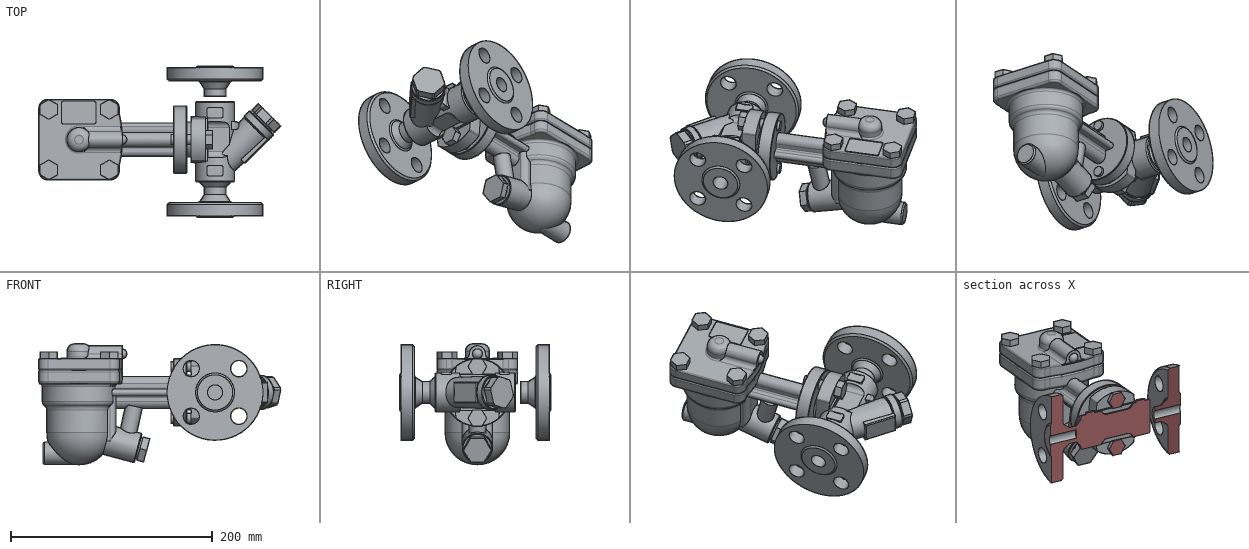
import cadquery as cq
import math

TRAP_X = -134.8
TRAP_Y = 2.1

FACE_Y = 75.0
FLANGE_D = 95.0
FLANGE_THICK = 13.3
FLANGE_CHAMFER = 2.0
RAISED_BASE_D = 38.6
RAISED_D = 35.0
RAISED_H = 1.5
BOLT_CIRCLE_D = 66.7
BOLT_HOLE_D = 16.0
NECK_D = 21.7
WELD_CONE_D = 31.5
NECK_ROOT_D = 30.0
NECK_FLARE_D = 33.5
NECK_FLARE_L = 1.2
NECK_CONE_L = 7.7
NECK_L = 7.5
BORE_D = 15.0

BODY_D = 39.0
BODY_HALF_L = 40.0
BODY_CHAMFER = 1.3
PAD_X = 16.0
PAD_Y = 10.3
PAD_CENTER_Y = 28.7
PAD_TOP = 20.2
PAD_CORNER_R = 2.0
WAIST_L = 35.6
WAIST_HALF_H = 13.5
WAIST_FILLET = 6.0
WAIST_CUT_X0 = -7.2

BRANCH_ANGLE = 45.0
BRANCH_START_Y = -27.4
BRANCH_ROOT = 12.0
BRANCH_ROOT_D = 30.0
BRANCH_END = 57.8
BRANCH_END_D = 32.5
COLLAR_D = 34.0
COLLAR_END = 65.5
COLLAR_CHAMFER = 0.8
GROOVE_D = 31.0
GROOVE_W = 1.2
CAP_NECK_D = 25.0
CAP_START = 67.3
CAP_END = 76.3
CAP_FLATS = 29.0
CAP_ROUND_D = 32.0
CAP_TURN = -13.0
BRANCH_PLATE_START = 25.0
BRANCH_PLATE_OFFSET = 16.8
BRANCH_PLATE_HALF_Z = 10.5
BRANCH_PLATE_CHAMFER = 1.0

GUSSET_X0 = 14.0
GUSSET_X1 = 23.5
GUSSET_Y0 = 12.0
GUSSET_Y1 = 20.0
GUSSET_HALF_Z = 11.0
GUSSET_ROUND = 3.0

ARM_FLANGE_D = 66.8
ARM_FLANGE_X0 = -41.2
ARM_FLANGE_X1 = -28.0
ARM_FLANGE_CHAMFER = 0.6
SPIGOT_D = 35.0
VALVE_FLANGE_X0 = -23.7
VALVE_FLANGE_X1 = -9.7
VALVE_FLANGE_D = 67.0
VALVE_FLANGE_W = 46.0
VALVE_FLANGE_END_W = 39.5
VALVE_FLANGE_ROUND = 1.5
VALVE_HUB_X1 = -7.2
VALVE_HUB_W = 42.0
VALVE_HUB_H = 36.0
CLAMP_BOLT_Z = 25.6
CLAMP_BOLT_D = 10.0
CLAMP_BOLT_X0 = -43.9
CLAMP_HEAD_X1 = -2.6
CLAMP_HEAD_FLATS = 16.0

ARM_WEB_W = 14.5
ARM_WEB_HALF_H = 16.0
ARM_BAR_HALF_W = 16.6
ARM_BAR_H = 7.0
ARM_BAR_Z = -0.2
ARM_INNER_FILLET = 1.3

BOWL_D = 64.2
BOWL_BOTTOM = -71.7
UPPER_BOWL_D = 73.0
STEP_LOW = -17.3
STEP_HIGH = -8.9
RIM_BOTTOM = 8.5
RIM_FILLET = 2.7

COVER_SIZE = 80.0
COVER_CORNER_R = 9.2
COVER_TOP = 33.4
COVER_JOINT = 22.0
COVER_TOP_ROUND = 1.0
JOINT_ROUND = 1.6
RIM_BOTTOM_ROUND = 2.4
BULGE_W = 50.5
BULGE_OUT = 3.0

COVER_BOLT_SPACING = 60.0
COVER_BOLT_FLATS = 17.0
COVER_BOLT_H = 6.7
NAME_PLATE_X = 34.2
NAME_PLATE_Y = 22.6
NAME_PLATE_CX = -0.4
NAME_PLATE_CY = 26.8
NAME_PLATE_H = 0.8
NAME_PLATE_R = 2.0
DOME_D = 24.0
DOME_TOP = 48.3
DOME_FLAT_D = 8.73
DOME_BASE_R = 1.5
DUCT_R = 8.0
DUCT_AXIS_Z = 38.3
BALL_D = 10.0
BALL_INSET = 0.6

DRAIN_D = 22.5
DRAIN_Z = -60.3
DRAIN_LENGTH = 35.8
DRAIN_CHAMFER = 1.5
COLUMN_X1 = -98.0
COLUMN_W = 30.0
COLUMN_BOTTOM = -48.0
COLUMN_ROUND = 6.0
SIDE_TILT = 15.0
SIDE_D = 30.0
SIDE_END_X = -76.2
SIDE_END_Z = -55.2
SIDE_LENGTH = 50.0
SIDE_CHAMFER = 0.8
PLUG_GAP = 1.8
PLUG_NECK_D = 21.7
PLUG_H = 7.0
PLUG_FLATS = 24.0
LINK_D = 17.0
LINK_TILT = 12.5
LINK_X = -86.6
LINK_Z = -42.0
LINK_LENGTH = 29.0


def hexagon(plane, flats, height, turn=0.0):
    """Hexagonal prism standing on a plane; turn 0 puts a corner on the plane's x direction."""
    corners = flats / math.cos(math.radians(30))
    prism = cq.Workplane(plane).polygon(6, corners).extrude(height)
    return prism.rotate(plane.origin.toTuple(), (plane.origin + plane.zDir).toTuple(), turn)


def box(x0, x1, y0, y1, z0, z1):
    return cq.Workplane("XY").box(x1 - x0, y1 - y0, z1 - z0, centered=False).translate((x0, y0, z0))


def x_plane(x, z):
    """Plane facing +X on the trap's middle plane, its local x along Y."""
    return cq.Plane((x, TRAP_Y, z), (0, 1, 0), (1, 0, 0))


def round_along(plane, stations):
    """Round body along a plane's normal from (distance, diameter) stations."""
    outline = [(0, stations[0][0])]
    outline += [(diameter / 2, distance) for distance, diameter in stations]
    outline.append((0, stations[-1][0]))
    side = cq.Plane(plane.origin, plane.xDir, plane.xDir.cross(plane.zDir))
    return cq.Workplane(side).polyline(outline).close().revolve(360, (0, 0), (0, 1))


def pipe_flange():
    """Flange at the -Y end with its raised face, weld neck, bore and bolt holes."""
    plane = cq.Plane((0, -FACE_Y, 0), (1, 0, 0), (0, 1, 0))
    flange_back = RAISED_H + FLANGE_THICK
    cone_end = flange_back + NECK_CONE_L
    neck_end = cone_end + NECK_L
    flange = round_along(plane, [
        (0, RAISED_D),
        (RAISED_H, RAISED_BASE_D),
        (RAISED_H, FLANGE_D),
        (flange_back - FLANGE_CHAMFER, FLANGE_D),
        (flange_back, FLANGE_D - 2 * FLANGE_CHAMFER),
        (flange_back, NECK_FLARE_D),
        (flange_back + NECK_FLARE_L, NECK_ROOT_D),
        (cone_end, NECK_D),
        (neck_end, NECK_D),
    ])
    bolt_holes = (
        cq.Workplane(plane)
        .polarArray(BOLT_CIRCLE_D / 2, 45, 360, 4)
        .circle(BOLT_HOLE_D / 2)
        .extrude(flange_back)
    )
    bore = cq.Workplane(plane).circle(BORE_D / 2).extrude(neck_end)
    return flange.cut(bolt_holes).cut(bore)


def body_tube():
    """Tube on the pipe axis, waisted in the middle, with a weld cone toward the -Y flange."""
    neck_end_y = FACE_Y - RAISED_H - FLANGE_THICK - NECK_CONE_L - NECK_L
    plane = cq.Plane((0, 0, 0), (1, 0, 0), (0, 1, 0))
    tube = round_along(plane, [
        (-neck_end_y, NECK_D),
        (-BODY_HALF_L, WELD_CONE_D),
        (-BODY_HALF_L, BODY_D - 2 * BODY_CHAMFER),
        (-BODY_HALF_L + BODY_CHAMFER, BODY_D),
        (BODY_HALF_L - BODY_CHAMFER, BODY_D),
        (BODY_HALF_L, BODY_D - 2 * BODY_CHAMFER),
    ])
    pads = (
        cq.Workplane("XY")
        .pushPoints([(0, PAD_CENTER_Y), (0, -PAD_CENTER_Y)])
        .rect(PAD_X, PAD_Y)
        .extrude(PAD_TOP)
        .edges("|Z")
        .fillet(PAD_CORNER_R)
    )
    tube = tube.union(pads)
    for side in (1, -1):
        waist_cut = (
            box(WAIST_CUT_X0, BODY_D, -WAIST_L / 2, WAIST_L / 2, WAIST_HALF_H, BODY_D)
            .edges("|X and <Z")
            .fillet(WAIST_FILLET)
            .translate((0, TRAP_Y, 0))
        )
        if side < 0:
            waist_cut = waist_cut.mirror("XY")
        tube = tube.cut(waist_cut)
    return tube


def strainer_branch():
    """Slanted branch with its collar, flat side plate and hexagonal cap."""
    slant = math.radians(BRANCH_ANGLE)
    axis = (math.cos(slant), math.sin(slant), 0)
    across = (math.sin(slant), -math.cos(slant), 0)
    plane = cq.Plane((0, BRANCH_START_Y, 0), across, axis)
    branch = round_along(plane, [
        (BRANCH_ROOT, BRANCH_ROOT_D),
        (BRANCH_END - GROOVE_W, BRANCH_END_D),
        (BRANCH_END - GROOVE_W, GROOVE_D),
        (BRANCH_END, GROOVE_D),
        (BRANCH_END, COLLAR_D),
        (COLLAR_END - COLLAR_CHAMFER, COLLAR_D),
        (COLLAR_END, COLLAR_D - 2 * COLLAR_CHAMFER),
        (COLLAR_END, CAP_NECK_D),
        (CAP_START, CAP_NECK_D),
    ])
    plate_l = BRANCH_END - BRANCH_PLATE_START
    side_plate = (
        cq.Workplane(plane)
        .workplane(offset=BRANCH_PLATE_START)
        .center(BRANCH_PLATE_OFFSET / 2, 0)
        .rect(BRANCH_PLATE_OFFSET, 2 * BRANCH_PLATE_HALF_Z)
        .extrude(plate_l)
        .faces(cq.selectors.DirectionMinMaxSelector(cq.Vector(*across), True))
        .chamfer(BRANCH_PLATE_CHAMFER)
    )
    cap_plane = cq.Plane(plane.toWorldCoords((0, 0, CAP_START)), across, axis)
    cap_h = CAP_END - CAP_START
    cap_round = cq.Workplane(cap_plane).circle(CAP_ROUND_D / 2).extrude(cap_h)
    cap = hexagon(cap_plane, CAP_FLATS, cap_h, CAP_TURN).intersect(cap_round)
    return branch.union(side_plate).union(cap)


def gusset():
    block = box(GUSSET_X0, GUSSET_X1, GUSSET_Y0, GUSSET_Y1, -GUSSET_HALF_Z, GUSSET_HALF_Z)
    return block.edges(">X").fillet(GUSSET_ROUND)


def connector():
    """Arm flange, spigot and strainer-body flange with their two clamp bolts."""
    arm_flange = (
        cq.Workplane(x_plane(ARM_FLANGE_X0, 0))
        .circle(ARM_FLANGE_D / 2)
        .extrude(ARM_FLANGE_X1 - ARM_FLANGE_X0)
        .edges()
        .chamfer(ARM_FLANGE_CHAMFER)
    )
    spigot = (
        cq.Workplane(x_plane(ARM_FLANGE_X1, 0))
        .circle(SPIGOT_D / 2)
        .extrude(VALVE_FLANGE_X0 - ARM_FLANGE_X1)
    )
    valve_plane = x_plane(VALVE_FLANGE_X0, 0)
    valve_thick = VALVE_FLANGE_X1 - VALVE_FLANGE_X0
    reach = VALVE_FLANGE_D / 2
    half_end = VALVE_FLANGE_END_W / 2
    half_middle = VALVE_FLANGE_W / 2
    valve_sides = (
        cq.Workplane(valve_plane)
        .moveTo(-half_end, -reach)
        .lineTo(half_end, -reach)
        .threePointArc((half_middle, 0), (half_end, reach))
        .lineTo(-half_end, reach)
        .threePointArc((-half_middle, 0), (-half_end, -reach))
        .close()
        .extrude(valve_thick)
    )
    valve_flange = (
        cq.Workplane(valve_plane)
        .circle(VALVE_FLANGE_D / 2)
        .extrude(valve_thick)
        .intersect(valve_sides)
        .edges("|X")
        .fillet(VALVE_FLANGE_ROUND)
    )
    hub = (
        cq.Workplane(x_plane(VALVE_FLANGE_X1, 0))
        .rect(VALVE_HUB_W, VALVE_HUB_H)
        .extrude(VALVE_HUB_X1 - VALVE_FLANGE_X1)
    )
    body_link = (
        cq.Workplane(x_plane(VALVE_HUB_X1, 0))
        .rect(WAIST_L - 2 * WAIST_FILLET, 2 * WAIST_HALF_H)
        .extrude(-VALVE_HUB_X1)
    )
    joined = arm_flange.union(spigot).union(valve_flange).union(hub).union(body_link)
    for z in (CLAMP_BOLT_Z, -CLAMP_BOLT_Z):
        shank = (
            cq.Workplane(x_plane(CLAMP_BOLT_X0, z))
            .circle(CLAMP_BOLT_D / 2)
            .extrude(VALVE_FLANGE_X1 - CLAMP_BOLT_X0)
        )
        head = hexagon(x_plane(VALVE_FLANGE_X1, z), CLAMP_HEAD_FLATS, CLAMP_HEAD_X1 - VALVE_FLANGE_X1)
        joined = joined.union(shank).union(head)
    return joined


def arm():
    """Arm of cross-shaped section from the bowl to the arm flange."""
    length = ARM_FLANGE_X0 - TRAP_X
    web = (
        cq.Workplane(x_plane(TRAP_X, 0))
        .slot2D(2 * ARM_WEB_HALF_H, ARM_WEB_W, 90)
        .extrude(length)
    )
    bar = (
        cq.Workplane(x_plane(TRAP_X, ARM_BAR_Z))
        .slot2D(2 * ARM_BAR_HALF_W, ARM_BAR_H)
        .extrude(length)
    )
    inner = 2 * (ARM_WEB_W / 2 + ARM_INNER_FILLET)
    inner_corners = cq.selectors.BoxSelector(
        (TRAP_X, TRAP_Y - inner / 2, ARM_BAR_Z - ARM_BAR_H),
        (ARM_FLANGE_X0, TRAP_Y + inner / 2, ARM_BAR_Z + ARM_BAR_H),
    )
    return web.union(bar).edges("|X").edges(inner_corners).fillet(ARM_INNER_FILLET)


def bowl():
    """Round-bottomed bowl that widens below the square rim."""
    bowl_r = BOWL_D / 2
    upper_r = UPPER_BOWL_D / 2
    ball_z = BOWL_BOTTOM + bowl_r
    half = math.sqrt(0.5)
    return (
        cq.Workplane("XZ")
        .moveTo(0, BOWL_BOTTOM)
        .threePointArc((bowl_r * half, ball_z - bowl_r * half), (bowl_r, ball_z))
        .lineTo(bowl_r, STEP_LOW)
        .tangentArcPoint(((bowl_r + upper_r) / 2, (STEP_LOW + STEP_HIGH) / 2), relative=False)
        .tangentArcPoint((upper_r, STEP_HIGH), relative=False)
        .lineTo(upper_r, RIM_BOTTOM - RIM_FILLET)
        .tangentArcPoint((upper_r + RIM_FILLET, RIM_BOTTOM), relative=False)
        .lineTo(upper_r + RIM_FILLET, COVER_JOINT)
        .lineTo(0, COVER_JOINT)
        .close()
        .revolve(360, (0, 0), (0, 1))
        .translate((TRAP_X, TRAP_Y, 0))
    )


def square_block(z0, z1, bottom_round=0, top_round=0):
    """Square block with rounded corners and a shallow bulge on its +X side."""
    half = COVER_SIZE / 2
    bulge_x = half + BULGE_OUT
    height = z1 - z0
    square = (
        cq.Workplane("XY")
        .rect(COVER_SIZE, COVER_SIZE)
        .extrude(height)
        .edges("|Z")
        .fillet(COVER_CORNER_R)
    )
    bulge = (
        cq.Workplane("XY")
        .moveTo(half, -BULGE_W / 2)
        .threePointArc((bulge_x, 0), (half, BULGE_W / 2))
        .lineTo(0, BULGE_W / 2)
        .lineTo(0, -BULGE_W / 2)
        .close()
        .extrude(height)
    )
    if bottom_round:
        square = square.faces("<Z").edges().fillet(bottom_round)
        bulge = bulge.faces("<Z").edges("%CIRCLE").fillet(bottom_round)
    if top_round:
        square = square.faces(">Z").edges().fillet(top_round)
        bulge = bulge.faces(">Z").edges("%CIRCLE").fillet(top_round)
    return square.union(bulge).translate((TRAP_X, TRAP_Y, z0))


def rim_and_cover():
    """Square bowl rim and cover, with a shallow groove around their joint."""
    cover = square_block(COVER_JOINT, COVER_TOP, JOINT_ROUND, COVER_TOP_ROUND)
    rim = square_block(RIM_BOTTOM, COVER_JOINT, RIM_BOTTOM_ROUND, JOINT_ROUND)
    return rim.union(cover)


def cover_details():
    """Cover bolt heads, name plate, dome, duct and ball end."""
    half = COVER_BOLT_SPACING / 2
    details = (
        cq.Workplane("XY")
        .rect(NAME_PLATE_X, NAME_PLATE_Y)
        .extrude(NAME_PLATE_H)
        .edges("|Z")
        .fillet(NAME_PLATE_R)
        .translate((TRAP_X + NAME_PLATE_CX, TRAP_Y + NAME_PLATE_CY, COVER_TOP))
    )
    for dx in (-half, half):
        for dy in (-half, half):
            plane = cq.Plane((TRAP_X + dx, TRAP_Y + dy, COVER_TOP), (0, 1, 0), (0, 0, 1))
            details = details.union(hexagon(plane, COVER_BOLT_FLATS, COVER_BOLT_H))
    return details.union(dome()).union(duct())


def dome():
    dome_r = DOME_D / 2
    flat_r = DOME_FLAT_D / 2
    shoulder_r = dome_r - flat_r
    return (
        cq.Workplane("XZ")
        .moveTo(0, COVER_TOP)
        .lineTo(dome_r + DOME_BASE_R, COVER_TOP)
        .radiusArc((dome_r, COVER_TOP + DOME_BASE_R), DOME_BASE_R)
        .lineTo(dome_r, DOME_TOP - shoulder_r)
        .tangentArcPoint((flat_r, DOME_TOP), relative=False)
        .lineTo(0, DOME_TOP)
        .close()
        .revolve(360, (0, 0), (0, 1))
        .translate((TRAP_X, TRAP_Y, 0))
    )


def duct():
    """Round-topped duct flaring into the cover, with a ball-ended plug at its +X end."""
    end_x = TRAP_X + COVER_SIZE / 2 + BULGE_OUT
    flare_r = DUCT_AXIS_Z - COVER_TOP
    foot_y = DUCT_R + flare_r
    duct_body = (
        cq.Workplane(x_plane(TRAP_X, 0))
        .moveTo(-foot_y, COVER_TOP)
        .radiusArc((-DUCT_R, DUCT_AXIS_Z), -flare_r)
        .threePointArc((0, DUCT_AXIS_Z + DUCT_R), (DUCT_R, DUCT_AXIS_Z))
        .radiusArc((foot_y, COVER_TOP), -flare_r)
        .close()
        .extrude(end_x - TRAP_X)
        .intersect(square_block(RIM_BOTTOM, DOME_TOP))
    )
    ball = cq.Workplane("XY").sphere(BALL_D / 2).translate((end_x - BALL_INSET, TRAP_Y, DUCT_AXIS_Z))
    return duct_body.union(ball)


def drain_boss():
    plane = x_plane(TRAP_X, DRAIN_Z)
    return round_along(plane, [
        (-DRAIN_LENGTH, DRAIN_D - 2 * DRAIN_CHAMFER),
        (-DRAIN_LENGTH + DRAIN_CHAMFER, DRAIN_D),
        (0, DRAIN_D),
    ])


def column():
    """Upright rib joining the arm, the bowl and the tilted side boss."""
    half = COLUMN_W / 2
    rib = box(TRAP_X, COLUMN_X1, TRAP_Y - half, TRAP_Y + half, COLUMN_BOTTOM, 0)
    return rib.edges("|Z and >X").fillet(COLUMN_ROUND)


def side_boss():
    """Tilted boss with a hexagonal plug, and the link pipe from it up to the arm."""
    tilt = math.radians(SIDE_TILT)
    axis = cq.Vector(math.cos(tilt), 0, -math.sin(tilt))
    end = cq.Vector(SIDE_END_X, TRAP_Y, SIDE_END_Z)
    plane = cq.Plane(end, (0, 1, 0), axis)
    boss = round_along(plane, [
        (-SIDE_LENGTH, SIDE_D),
        (-SIDE_CHAMFER, SIDE_D),
        (0, SIDE_D - 2 * SIDE_CHAMFER),
        (0, PLUG_NECK_D),
        (PLUG_GAP, PLUG_NECK_D),
    ])
    plug_plane = cq.Plane(end + axis * PLUG_GAP, (0, 1, 0), axis)
    plug = hexagon(plug_plane, PLUG_FLATS, PLUG_H)
    lean = math.radians(LINK_TILT)
    link_axis = (math.sin(lean), 0, math.cos(lean))
    link_plane = cq.Plane((LINK_X, TRAP_Y, LINK_Z), (0, 1, 0), link_axis)
    link = cq.Workplane(link_plane).circle(LINK_D / 2).extrude(LINK_LENGTH)
    return boss.union(plug).union(link)


def trap_unit():
    """Trap, arm, connector, strainer body and the flange welded to it, as one solid."""
    parts = [
        rim_and_cover(), cover_details(), drain_boss(), column(), side_boss(),
        arm(), connector(), body_tube(), strainer_branch(), gusset(), pipe_flange(),
    ]
    unit = bowl()
    for piece in parts:
        unit = unit.union(piece)
    return unit


trap = trap_unit()
loose_flange = pipe_flange().mirror("XZ")

result = cq.Compound.makeCompound([trap.val(), loose_flange.val()])